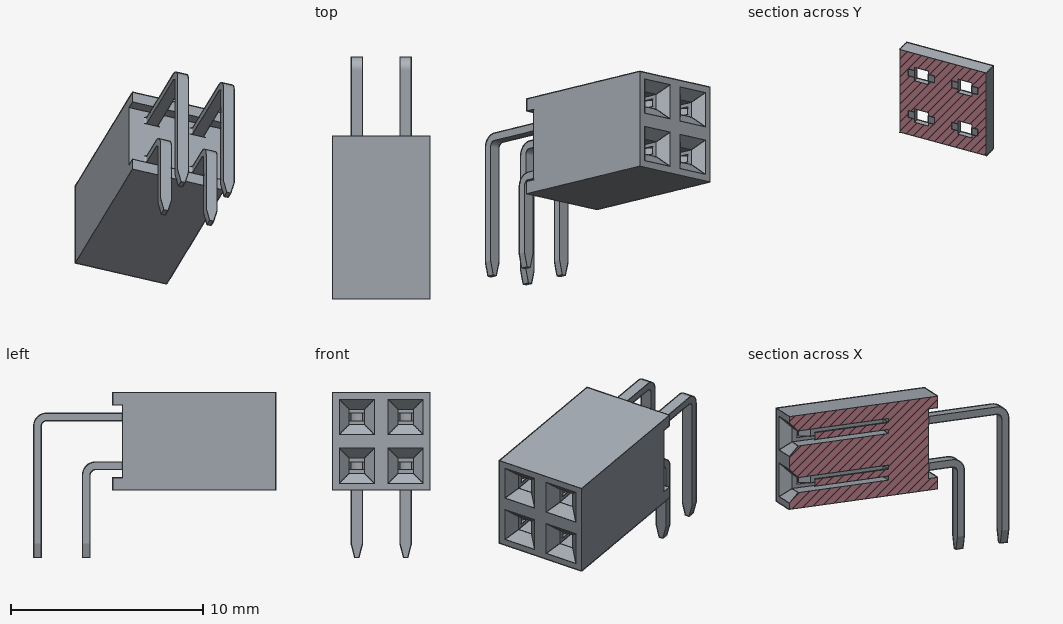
import cadquery as cq
import math


body_side = 5.08
body_length = 8.49
pitch = body_side / 2
rear_notch_depth = 0.5
rear_lip_height = 0.65
rear_face = body_length - rear_notch_depth

mouth_side = 1.83
hole_side = 0.8
funnel_depth = 0.5
hole_depth = 5.67

slot_start = 0.8
contact_width = 1.51
fork_tip = 1.01
tine_tip_width = 0.1
fork_gap = 0.6
lead_in_angle = 56.0
fork_root_radius = 0.53

pin_width = 0.6
pin_thickness = 0.4
bend_radius = 0.69
neck_radius = 0.13
longest_pin_reach = 12.6
pin_drop = 3.5
pin_tip_width = 0.23
pin_tip_length = 0.73

columns = [-pitch / 2, pitch / 2]
rows = [pitch / 2, pitch * 3 / 2]


def housing():
    block = cq.Workplane("XY").box(body_side, body_length, body_side, centered=(True, False, False))
    notch = (
        cq.Workplane("XY")
        .box(body_side, rear_notch_depth, body_side - 2 * rear_lip_height, centered=(True, False, False))
        .translate((0, rear_face, rear_lip_height))
    )
    return block.cut(notch)


def socket(x, z):
    """Square funnel leading into a square blind hole, with the slot for the contact."""
    funnel = (
        cq.Workplane("XZ", origin=(x, 0, z))
        .rect(mouth_side, mouth_side)
        .workplane(offset=-funnel_depth)
        .rect(hole_side, hole_side)
        .loft(combine=True)
    )
    hole = cq.Workplane("XZ", origin=(x, 0, z)).rect(hole_side, hole_side).extrude(-hole_depth)
    slot = (
        cq.Workplane("XZ", origin=(x, slot_start, z))
        .rect(contact_width, pin_thickness)
        .extrude(slot_start - rear_face)
    )
    return funnel.union(hole).union(slot)


def contact(x, z):
    """Flat fork that fills the rear of the slot and narrows to the pin behind the housing."""
    half_width = contact_width / 2
    half_tip_gap = half_width - tine_tip_width
    half_gap = fork_gap / 2
    half_pin = pin_width / 2
    lead_in_end = fork_tip + (half_tip_gap - half_gap) * math.tan(math.radians(lead_in_angle))
    root_sagitta = fork_root_radius - math.sqrt(fork_root_radius**2 - half_gap**2)
    neck_end = rear_face + neck_radius
    shoulder = half_pin + neck_radius
    outline = (
        cq.Workplane("XY", origin=(x, 0, z - pin_thickness / 2))
        .moveTo(-half_width, fork_tip)
        .lineTo(-half_tip_gap, fork_tip)
        .lineTo(-half_gap, lead_in_end)
        .lineTo(-half_gap, hole_depth)
        .threePointArc((0, hole_depth + root_sagitta), (half_gap, hole_depth))
        .lineTo(half_gap, lead_in_end)
        .lineTo(half_tip_gap, fork_tip)
        .lineTo(half_width, fork_tip)
        .lineTo(half_width, rear_face)
        .lineTo(shoulder, rear_face)
        .radiusArc((half_pin, neck_end), neck_radius)
        .lineTo(-half_pin, neck_end)
        .radiusArc((-shoulder, rear_face), neck_radius)
        .lineTo(-half_width, rear_face)
        .close()
    )
    return outline.extrude(pin_thickness)


def pin(x, z):
    """Flat pin that runs back from the contact, bends down and ends in a tapered tip."""
    reach = longest_pin_reach - (rows[-1] - z)
    top = z + pin_thickness / 2
    side_profile = (
        cq.Workplane("YZ", origin=(x - pin_width / 2, 0, 0))
        .moveTo(rear_face + neck_radius, top)
        .lineTo(reach - bend_radius, top)
        .radiusArc((reach, top - bend_radius), bend_radius)
        .lineTo(reach, -pin_drop)
        .lineTo(reach - pin_thickness, -pin_drop)
        .lineTo(reach - pin_thickness, top - bend_radius)
        .radiusArc((reach - bend_radius, top - pin_thickness), -(bend_radius - pin_thickness))
        .lineTo(rear_face + neck_radius, top - pin_thickness)
        .close()
    )
    front_profile = (
        cq.Workplane("XZ", origin=(x, 0, 0))
        .moveTo(-pin_tip_width / 2, -pin_drop)
        .lineTo(pin_tip_width / 2, -pin_drop)
        .lineTo(pin_width / 2, pin_tip_length - pin_drop)
        .lineTo(pin_width / 2, top)
        .lineTo(-pin_width / 2, top)
        .lineTo(-pin_width / 2, pin_tip_length - pin_drop)
        .close()
    )
    return side_profile.extrude(pin_width).intersect(front_profile.extrude(-longest_pin_reach))


result = housing()
for column in columns:
    for row in rows:
        result = result.cut(socket(column, row)).union(contact(column, row)).union(pin(column, row))